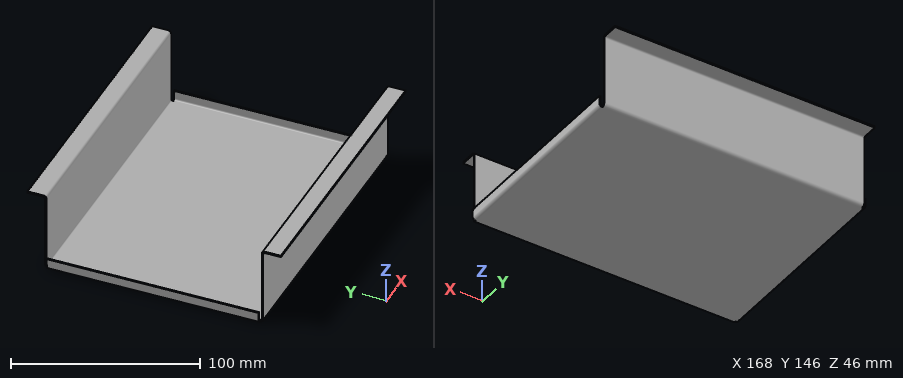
import cadquery as cq

length = 168.0
width = 146.0
height = 46.0

thickness = 1.0
inner_radius = 1.0
outer_radius = inner_radius + thickness

flange_reach = 10.0
lip_height = 6.7

wall_span = width - 2 * flange_reach
wall_length = length - 2 * outer_radius
lip_length = wall_span - 2 * outer_radius


def rounded_block(plane, span, depth, bottom, top, radius):
    """Block with its two bottom edges along the plane's normal rounded."""
    return (
        cq.Workplane(plane)
        .center(0, (bottom + top) / 2)
        .rect(span, top - bottom)
        .extrude(depth / 2, both=True)
        .faces("<Z")
        .edges(cq.selectors.ParallelDirSelector(cq.Plane.named(plane).zDir))
        .fillet(radius)
    )


def channel(plane, span, depth, rise):
    """U-shaped sheet, open at the top, running along the plane's normal."""
    outside = rounded_block(plane, span, depth, 0, rise, outer_radius)
    inside = rounded_block(plane, span - 2 * thickness, depth, thickness, rise, inner_radius)
    return outside.cut(inside)


def flange(side):
    """Top flange and its bend on one wall; side is -1 or 1 along Y."""
    outer_face = side * wall_span / 2
    inner_face = outer_face - side * thickness
    bend_end = inner_face + side * outer_radius
    arc_center = (bend_end, height - outer_radius)
    diagonal = 0.5 ** 0.5

    def arc_middle(radius):
        return (
            arc_center[0] - side * radius * diagonal,
            arc_center[1] + radius * diagonal,
        )

    return (
        cq.Workplane("YZ")
        .moveTo(inner_face, arc_center[1])
        .threePointArc(arc_middle(outer_radius), (bend_end, height))
        .lineTo(side * width / 2, height)
        .lineTo(side * width / 2, height - thickness)
        .lineTo(bend_end, height - thickness)
        .threePointArc(arc_middle(inner_radius), (outer_face, arc_center[1]))
        .close()
        .extrude(wall_length / 2, both=True)
    )


walls = channel("YZ", wall_span, wall_length, height - outer_radius)
lips = channel("XZ", length, lip_length, lip_height)

result = walls.union(lips).union(flange(-1)).union(flange(1))